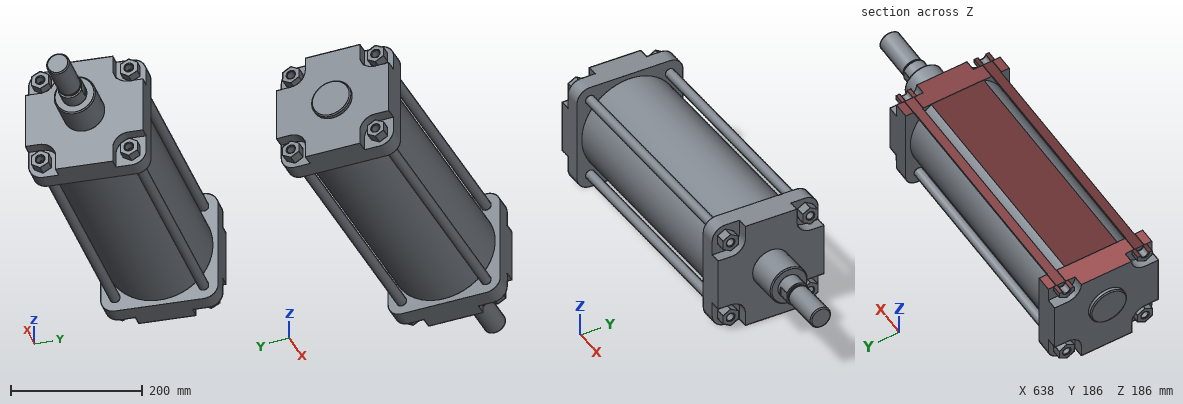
import cadquery as cq
import math

overall_length = 638.0
rear_end_x = -overall_length / 2

cap_width = 186.0
cap_length = 46.0
rod_pitch = 140.5
corner_radius = (cap_width - rod_pitch) / 2
pocket_depth = 18.5
web_width = 90.5
pocket_radius = (rod_pitch - web_width) / 2
boss_radius = 32.5
boss_chamfer = 2.0
rear_boss_length = 7.0
front_boss_length = 55.5

barrel_radius = 85.0
barrel_length = 386.5

tie_rod_radius = 8.0
nut_across_flats = 27.0
nut_gap = 2.0
nut_height = pocket_depth - nut_gap
socket_mouth_radius = 7.5
socket_radius = 6.5

piston_rod_radius = 20.0
plain_length = 6.0
flats_length = 19.0
flats_width = 36.5
neck_length = 4.0
neck_radius = 16.5
thread_radius = 18.0
thread_chamfer = 2.0

rear_face_x = rear_end_x + rear_boss_length
barrel_start_x = rear_face_x + cap_length
barrel_end_x = barrel_start_x + barrel_length
front_face_x = barrel_end_x + cap_length
front_boss_end_x = front_face_x + front_boss_length
flats_start_x = front_boss_end_x + plain_length
flats_end_x = flats_start_x + flats_length
thread_start_x = flats_end_x + neck_length
rod_end_x = overall_length / 2

corner_signs = [(-1, -1), (-1, 1), (1, -1), (1, 1)]
tie_rod_centres = [
    (sign_y * rod_pitch / 2, sign_z * rod_pitch / 2)
    for sign_y, sign_z in corner_signs
]


def plane_at(x):
    """Plane normal to +X at the given x; its local axes are Y and Z."""
    return cq.Workplane("YZ", origin=(x, 0, 0))


def cylinder_x(x_start, x_end, radius):
    """Cylinder on the X axis."""
    return plane_at(x_start).circle(radius).extrude(x_end - x_start)


def make_cap(inner_x, direction, boss_length):
    """Square cap running outward from inner_x; direction is +1 for +X, -1 for -X."""
    outer_x = inner_x + direction * cap_length
    cap = (
        plane_at(inner_x)
        .rect(cap_width, cap_width)
        .extrude(direction * cap_length)
        .edges("|X")
        .fillet(corner_radius)
    )

    pocket_side = cap_width - web_width
    pocket_offset = (web_width + pocket_side) / 2
    pocket_floor_x = outer_x - direction * pocket_depth
    for sign_y, sign_z in corner_signs:
        pocket = (
            plane_at(pocket_floor_x)
            .center(sign_y * pocket_offset, sign_z * pocket_offset)
            .rect(pocket_side, pocket_side)
            .extrude(direction * pocket_depth)
            .edges("|X")
            .fillet(pocket_radius)
        )
        cap = cap.cut(pocket)

    boss_face = ">X" if direction > 0 else "<X"
    boss = (
        plane_at(outer_x)
        .circle(boss_radius)
        .extrude(direction * boss_length)
        .faces(boss_face)
        .chamfer(boss_chamfer)
    )
    cap = cap.union(boss)

    tie_rod_holes = (
        plane_at(inner_x)
        .pushPoints(tie_rod_centres)
        .circle(tie_rod_radius)
        .extrude(direction * cap_length)
    )
    return cap.cut(tie_rod_holes)


def make_rear_cap():
    return make_cap(barrel_start_x, -1, rear_boss_length)


def make_front_cap():
    rod_bore = cylinder_x(barrel_end_x, front_boss_end_x, piston_rod_radius)
    return make_cap(barrel_end_x, 1, front_boss_length).cut(rod_bore)


def make_barrel():
    return cylinder_x(barrel_start_x, barrel_end_x, barrel_radius)


def make_piston_rod():
    shank = cylinder_x(barrel_end_x, flats_start_x, piston_rod_radius)

    flats_envelope = (
        plane_at(flats_start_x)
        .rect(flats_width, 2 * piston_rod_radius)
        .extrude(flats_length)
    )
    flats = cylinder_x(flats_start_x, flats_end_x, piston_rod_radius).intersect(flats_envelope)

    neck = cylinder_x(flats_end_x, thread_start_x, neck_radius)
    thread = (
        cylinder_x(thread_start_x, rod_end_x, thread_radius)
        .faces(">X")
        .chamfer(thread_chamfer)
    )
    return shank.union(flats).union(neck).union(thread)


def make_nut(seat_x, direction, centre_y, centre_z):
    """Hexagonal nut with corners toward +Z and -Z and a countersunk socket."""
    corner_diameter = nut_across_flats / math.cos(math.pi / 6)
    outer_face = ">X" if direction > 0 else "<X"
    nut = (
        plane_at(seat_x)
        .center(centre_y, centre_z)
        .transformed(rotate=(0, 0, 90))
        .polygon(6, corner_diameter)
        .extrude(direction * nut_height)
    )
    socket = (
        plane_at(seat_x)
        .center(centre_y, centre_z)
        .circle(socket_radius)
        .extrude(direction * nut_height)
    )
    mouth_depth = socket_mouth_radius - socket_radius
    return (
        nut.cut(socket)
        .faces(outer_face)
        .edges("%CIRCLE")
        .chamfer(mouth_depth)
    )


def make_tie_rod(centre_y, centre_z):
    """Rod clamped between both caps, with a socketed hexagonal nut on each end."""
    rear_nut_x = rear_face_x + pocket_depth
    front_nut_x = front_face_x - pocket_depth
    tie_rod = (
        plane_at(rear_nut_x)
        .center(centre_y, centre_z)
        .circle(tie_rod_radius)
        .extrude(front_nut_x - rear_nut_x)
    )
    for seat_x, direction in ((rear_nut_x, -1), (front_nut_x, 1)):
        tie_rod = tie_rod.union(make_nut(seat_x, direction, centre_y, centre_z))
    return tie_rod


rear_cap = make_rear_cap()
front_cap = make_front_cap()
barrel = make_barrel()
piston_rod = make_piston_rod()
tie_rods = [make_tie_rod(centre_y, centre_z) for centre_y, centre_z in tie_rod_centres]

result = cq.Compound.makeCompound([
    rear_cap.val(),
    front_cap.val(),
    barrel.val(),
    piston_rod.val(),
    *[tie_rod.val() for tie_rod in tie_rods],
])